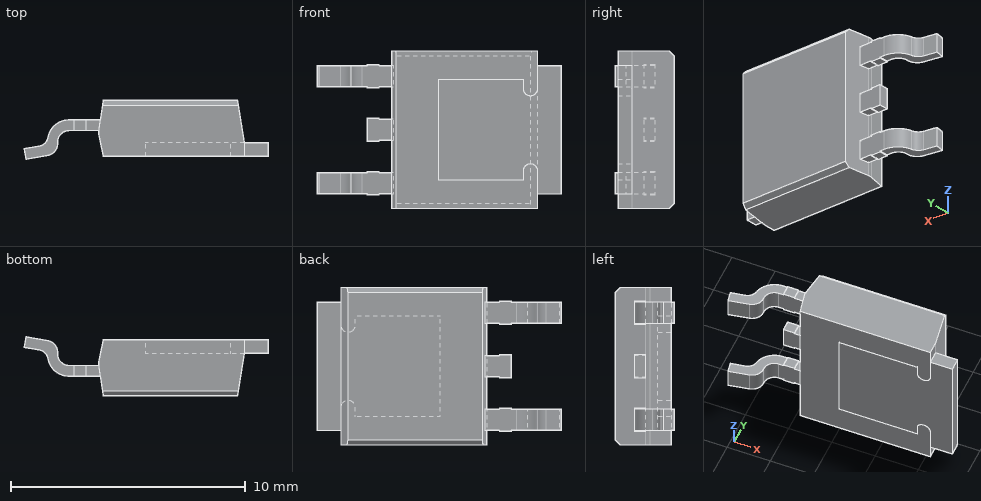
import cadquery as cq
import math

total_length = 10.41

housing_height = 6.72
housing_depth = 2.39
base_left_x = 3.37
base_right_x = 9.39
top_right_x = 9.1
ridge_x = 3.16
ridge_y = 1.0
ridge_radius = 0.57
top_chamfer = 0.22

tab_thickness = 0.58
tab_width = 5.48
pad_width = 4.29
pad_left_x = 5.17
neck_width = 2.89
notch_width = 0.6

lead_pitch = 2.28
lead_width = 0.91
lead_thickness = 0.47
lead_top_y = 1.56
lead_bottom_y = lead_top_y - lead_thickness
collar_start_x = 2.13
collar_length = 0.51
collar_width = 0.99

bend_start_x = 1.92
foot_angle = 10.0
foot_tip_y = 0.33
upper_outer_radius = 0.92
upper_outer_sweep = 80.0
upper_inner_radius = 0.48
lower_inner_radius = 0.45
lower_outer_radius = 0.52


def polar(center, radius, angle):
    """Point at an angle in degrees, measured from +X toward +Y."""
    turn = math.radians(angle)
    return (center[0] + radius * math.cos(turn), center[1] + radius * math.sin(turn))


def plate(outline, height):
    """Extrude an XY outline symmetrically about Z = 0."""
    return outline.close().extrude(height / 2, both=True)


def make_housing(tab):
    outline = (
        cq.Workplane("XY")
        .moveTo(base_left_x, 0)
        .lineTo(base_right_x, 0)
        .lineTo(base_right_x, tab_thickness)
        .lineTo(top_right_x, housing_depth)
        .lineTo(base_left_x, housing_depth)
        .lineTo(ridge_x, ridge_y)
    )
    block = plate(outline, housing_height)
    block = block.edges("<X").fillet(ridge_radius)
    block = block.faces(">Y").edges("|X").chamfer(top_chamfer)
    return block.cut(tab)


def make_tab():
    def slab(start_x, end_x, width):
        return (
            cq.Workplane("XY")
            .box(end_x - start_x, tab_thickness, width, centered=(False, False, True))
            .translate((start_x, 0, 0))
        )

    notch_start_x = base_right_x - notch_width
    tab = slab(pad_left_x, base_right_x, pad_width)
    tab = tab.union(slab(base_right_x, total_length, tab_width))

    notch_radius = notch_width / 2
    notch_x = notch_start_x + notch_radius
    round_center_z = neck_width / 2 + notch_radius
    notch_length = pad_width / 2 - round_center_z
    for side in (-1, 1):
        straight = slab(notch_start_x, base_right_x, notch_length).translate(
            (0, 0, side * (round_center_z + notch_length / 2))
        )
        rounded_end = (
            cq.Workplane("XZ", origin=(notch_x, 0, side * round_center_z))
            .circle(notch_radius)
            .extrude(-tab_thickness)
        )
        tab = tab.cut(straight).cut(rounded_end)
    return tab


def make_stub():
    """Straight lead with its wider collar, reaching into the housing's lead side."""
    shank = cq.Workplane("XY").box(
        base_left_x - collar_start_x, lead_thickness, lead_width, centered=(False, False, True)
    )
    collar = cq.Workplane("XY").box(
        collar_length, lead_thickness, collar_width, centered=(False, False, True)
    )
    return shank.union(collar).translate((collar_start_x, lead_bottom_y, 0))


def make_bent_end():
    """Lead end that bends down toward the mounting face and out to a sloped foot."""
    foot_normal = 90 + foot_angle

    upper_center = (bend_start_x, lead_top_y - upper_outer_radius)
    upper_turn = 90 + upper_outer_sweep
    upper_joint = polar(upper_center, upper_outer_radius, upper_turn)
    upper_mid = polar(upper_center, upper_outer_radius, 90 + upper_outer_sweep / 2)
    hollow_center = polar(upper_joint, lower_inner_radius, upper_turn)
    hollow_mid_angle = (upper_turn + foot_normal) / 2 + 180
    hollow_mid = polar(hollow_center, lower_inner_radius, hollow_mid_angle)
    hollow_end = polar(hollow_center, lower_inner_radius, foot_normal + 180)

    tip_top = (0, foot_tip_y)
    tip_bottom = polar(tip_top, lead_thickness, foot_normal + 180)

    inner_center = (bend_start_x, lead_bottom_y - upper_inner_radius)
    slope = math.radians(foot_angle)
    offset_x = inner_center[0] - tip_bottom[0]
    offset_y = inner_center[1] - tip_bottom[1]
    along_foot = offset_x * math.cos(slope) + offset_y * math.sin(slope)
    above_foot = offset_y * math.cos(slope) - offset_x * math.sin(slope)
    center_gap = math.sqrt(
        (upper_inner_radius + lower_outer_radius) ** 2 - (above_foot - lower_outer_radius) ** 2
    )
    heel_end = polar(tip_bottom, along_foot - center_gap, foot_angle)
    heel_center = polar(heel_end, lower_outer_radius, foot_normal)
    heel_start_angle = math.degrees(
        math.atan2(inner_center[1] - heel_center[1], inner_center[0] - heel_center[0])
    )
    heel_start = polar(heel_center, lower_outer_radius, heel_start_angle)
    heel_mid_angle = (heel_start_angle + foot_angle - 90) / 2
    heel_mid = polar(heel_center, lower_outer_radius, heel_mid_angle)
    inner_mid_angle = (90 + 180 + heel_start_angle) / 2
    inner_mid = polar(inner_center, upper_inner_radius, inner_mid_angle)

    outline = (
        cq.Workplane("XY")
        .moveTo(collar_start_x, lead_top_y)
        .lineTo(bend_start_x, lead_top_y)
        .threePointArc(upper_mid, upper_joint)
        .threePointArc(hollow_mid, hollow_end)
        .lineTo(*tip_top)
        .lineTo(*tip_bottom)
        .lineTo(*heel_end)
        .threePointArc(heel_mid, heel_start)
        .threePointArc(inner_mid, (bend_start_x, lead_bottom_y))
        .lineTo(collar_start_x, lead_bottom_y)
    )
    return plate(outline, lead_width)


tab = make_tab()
housing = make_housing(tab)

center_lead = make_stub().cut(housing)
outer_lead = make_stub().union(make_bent_end()).cut(housing)
outer_leads = [outer_lead.translate((0, 0, side * lead_pitch)) for side in (-1, 1)]

result = cq.Compound.makeCompound(
    [
        housing.solids().val(),
        tab.solids().val(),
        center_lead.solids().val(),
        *[lead.solids().val() for lead in outer_leads],
    ]
)